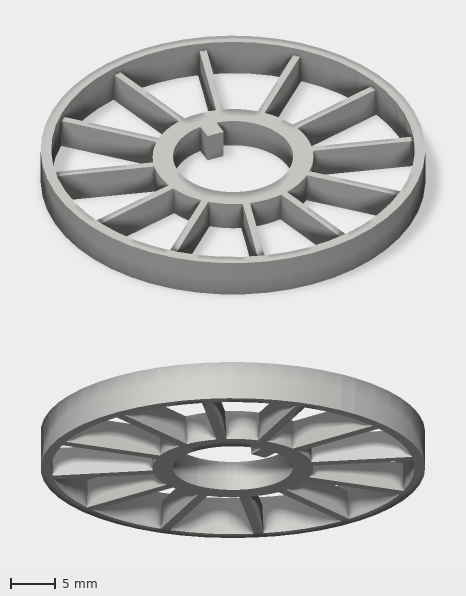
import cadquery as cq
import math

outer_diameter = 43.4
rim_height = 4.4
top_recess = 1.0
hub_height = rim_height - top_recess
rim_inner_diameter = 41.0
hub_diameter = 18.15
bore_diameter = 13.55
hub_middle_radius = (hub_diameter + bore_diameter) / 4

spoke_count = 12
spoke_top_width = 0.82
spoke_bottom_width = 1.15

key_width = 2.0
key_tip_radius = 4.75
flat_width = key_width


def ring(outer, inner, height):
    """Ring given its two diameters and its height."""
    return cq.Workplane("XY").circle(outer / 2).circle(inner / 2).extrude(height)


def spoke(angle):
    """Tapered bar running from inside the hub wall to inside the rim wall."""
    start = hub_middle_radius
    end = (outer_diameter + rim_inner_diameter) / 4
    section = [
        (-spoke_bottom_width / 2, 0),
        (spoke_bottom_width / 2, 0),
        (spoke_top_width / 2, hub_height),
        (-spoke_top_width / 2, hub_height),
    ]
    bar = cq.Workplane("YZ", origin=(start, 0, 0)).polyline(section).close().extrude(end - start)
    return bar.rotate((0, 0, 0), (0, 0, 1), angle)


def key():
    """Rectangular key reaching from the hub wall into the bore."""
    length = hub_middle_radius - key_tip_radius
    center_x = -(hub_middle_radius + key_tip_radius) / 2
    return cq.Workplane("XY").center(center_x, 0).rect(length, key_width).extrude(hub_height)


def rim_flat():
    """Block that shaves a shallow flat on the -X side of the rim."""
    flat_distance = math.sqrt((outer_diameter / 2) ** 2 - (flat_width / 2) ** 2)
    block_depth = 0.45
    return (
        cq.Workplane("XY")
        .center(-flat_distance - block_depth / 2, 0)
        .rect(block_depth, 2 * flat_width)
        .extrude(rim_height)
    )


wheel = ring(outer_diameter, rim_inner_diameter, rim_height)
wheel = wheel.union(ring(hub_diameter, bore_diameter, hub_height))
spoke_pitch = 360 / spoke_count
for index in range(spoke_count):
    wheel = wheel.union(spoke((index + 0.5) * spoke_pitch))

result = wheel.union(key()).cut(rim_flat())